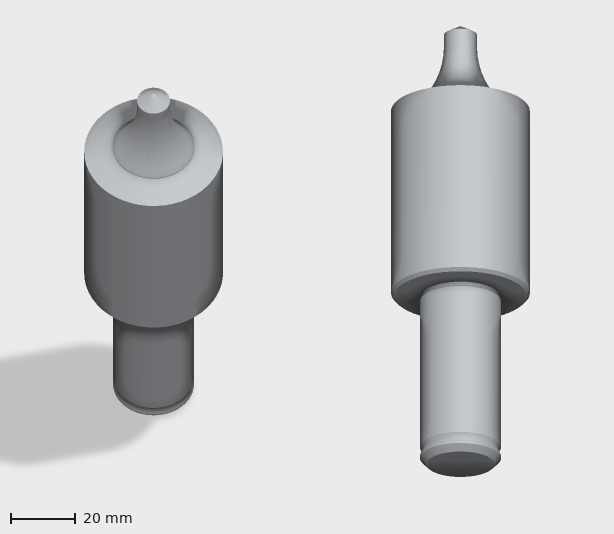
import cadquery as cq
import math

total_length = 146.2

tip_radius = 5.1
tip_cone_slope = 30.0
tip_straight_length = 4.0

flare_length = 18.9
flare_radius = 12.6

body_radius = 21.5
body_bottom_z = 56.1
body_top_z = 117.8
body_chamfer = 1.0
shoulder_slope = 15.0

shank_radius = 12.6
neck_radius = 12.0
neck_length = 1.2
neck_chamfer = shank_radius - neck_radius

end_chamfer = 2.0
groove_bottom_z = 2.6
groove_top_z = 5.7
groove_depth = 0.5

tip_cone_base_z = total_length - tip_radius * math.tan(math.radians(tip_cone_slope))
flare_top_z = tip_cone_base_z - tip_straight_length
flare_bottom_z = flare_top_z - flare_length
shoulder_height = (body_radius - flare_radius) * math.tan(math.radians(shoulder_slope))
shoulder_top_z = body_top_z + shoulder_height
neck_bottom_z = body_bottom_z - neck_length
flare_width = flare_radius - tip_radius
flare_arc_radius = (flare_length**2 + flare_width**2) / (2 * flare_width)
flare_half_angle = math.asin(flare_length / flare_arc_radius) / 2
flare_middle = (
    tip_radius + flare_arc_radius * (1 - math.cos(flare_half_angle)),
    flare_top_z - flare_arc_radius * math.sin(flare_half_angle),
)
groove_middle_z = (groove_bottom_z + groove_top_z) / 2

profile = (
    cq.Workplane("XZ")
    .moveTo(0, 0)
    .lineTo(shank_radius - end_chamfer, 0)
    .lineTo(shank_radius, end_chamfer)
    .lineTo(shank_radius, groove_bottom_z)
    .threePointArc((shank_radius - groove_depth, groove_middle_z), (shank_radius, groove_top_z))
    .lineTo(shank_radius, neck_bottom_z - neck_chamfer)
    .lineTo(neck_radius, neck_bottom_z)
    .lineTo(neck_radius, body_bottom_z)
    .lineTo(body_radius - body_chamfer, body_bottom_z)
    .lineTo(body_radius, body_bottom_z + body_chamfer)
    .lineTo(body_radius, body_top_z)
    .lineTo(flare_radius, shoulder_top_z)
    .lineTo(flare_radius, flare_bottom_z)
    .threePointArc(flare_middle, (tip_radius, flare_top_z))
    .lineTo(tip_radius, tip_cone_base_z)
    .lineTo(0, total_length)
    .close()
)

result = profile.revolve(360, (0, 0, 0), (0, 1, 0))